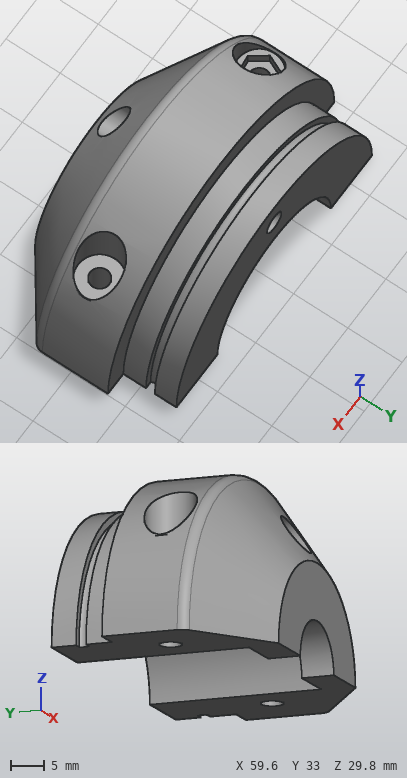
import cadquery as cq
import math


band_radius = 29.8
nose_radius = 15.9
nose_length = 10.0
nose_edge_fillet = 2.0
band_end = 23.2
spigot_radius = 25.75
total_length = 33.0

groove_start = 27.4
groove_width = 1.6
groove_wall_depth = 1.2
groove_bottom_sag = 0.3

bore_radius = 6.9
nose_wall = 5.2
cavity_radius = 14.9

axial_hole_z = 20.6
axial_hole_diameter = 3.8
axial_counterbore_diameter = 6.0
axial_counterbore_floor = 7.0

clamp_x = 21.0
clamp_y = 15.5
clamp_hole_diameter = 3.5
clamp_counterbore_diameter = 8.0
clamp_floor_z = 16.1
nut_across_corners = 6.6
nut_depth = 1.95
nut_turn = 6.0


def half_turn(profile):
    """Revolve an XY profile about the Y axis into the half above z = 0."""
    return profile.revolve(180, (0, 0, 0), (0, -1, 0))


def cylinder_y(diameter, z, start, end):
    """Cylinder along Y between two positions, centred at x = 0."""
    plane = cq.Plane(origin=(0, start, z), xDir=(1, 0, 0), normal=(0, 1, 0))
    return cq.Workplane(plane).circle(diameter / 2).extrude(end - start)


def cylinder_z(diameter, x, bottom, top):
    """Cylinder along Z between two heights at a clamping position."""
    base = cq.Workplane("XY", origin=(x, clamp_y, bottom))
    return base.circle(diameter / 2).extrude(top - bottom)


def shell():
    """Outer solid: cone, rounded edge, band and spigot."""
    cone_angle = math.atan2(band_radius - nose_radius, nose_length)
    tangent_length = nose_edge_fillet * math.tan(cone_angle / 2)
    cone_tangent = (
        band_radius - tangent_length * math.sin(cone_angle),
        nose_length - tangent_length * math.cos(cone_angle),
    )
    band_tangent = (band_radius, nose_length + tangent_length)
    fillet_middle = (
        band_radius - nose_edge_fillet * (1 - math.cos(cone_angle / 2)),
        band_tangent[1] - nose_edge_fillet * math.sin(cone_angle / 2),
    )
    profile = (
        cq.Workplane("XY")
        .lineTo(nose_radius, 0)
        .lineTo(*cone_tangent)
        .threePointArc(fillet_middle, band_tangent)
        .lineTo(band_radius, band_end)
        .lineTo(spigot_radius, band_end)
        .lineTo(spigot_radius, total_length)
        .lineTo(0, total_length)
        .close()
    )
    return half_turn(profile)


def groove():
    """Seal groove with straight walls and an arched bottom."""
    wall_bottom = spigot_radius - groove_wall_depth
    groove_end = groove_start + groove_width
    deepest = (wall_bottom - groove_bottom_sag, groove_start + groove_width / 2)
    profile = (
        cq.Workplane("XY")
        .moveTo(band_radius, groove_start)
        .lineTo(wall_bottom, groove_start)
        .threePointArc(deepest, (wall_bottom, groove_end))
        .lineTo(band_radius, groove_end)
        .close()
    )
    return half_turn(profile)


def nut_pocket(x):
    """Hexagonal nut pocket sunk into a counterbore floor."""
    return (
        cq.Workplane("XY", origin=(x, clamp_y, clamp_floor_z - nut_depth))
        .transformed(rotate=(0, 0, nut_turn))
        .polygon(6, nut_across_corners)
        .extrude(nut_depth)
    )


result = shell().cut(groove())

result = result.cut(cylinder_y(2 * bore_radius, 0, 0, nose_wall))
result = result.cut(cylinder_y(2 * cavity_radius, 0, nose_wall, total_length))

result = result.cut(cylinder_y(axial_hole_diameter, axial_hole_z, 0, total_length))
result = result.cut(cylinder_y(axial_counterbore_diameter, axial_hole_z, 0, axial_counterbore_floor))

for x in (-clamp_x, clamp_x):
    result = result.cut(cylinder_z(clamp_hole_diameter, x, 0, band_radius))
    result = result.cut(cylinder_z(clamp_counterbore_diameter, x, clamp_floor_z, band_radius))
result = result.cut(nut_pocket(-clamp_x))